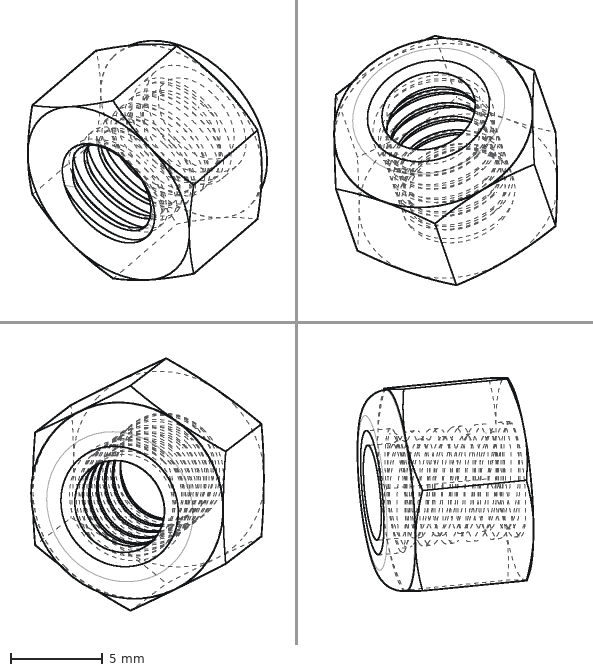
import cadquery as cq
import math

across_corners = 12.83
half_corner_angle = 30.0
across_flats = across_corners * math.cos(math.radians(half_corner_angle))
hex_length = 6.6
total_length = 7.94
corner_chamfer_angle = 25.0

collar_diameter = 11.09
collar_length = total_length - hex_length
collar_round = 1.28

thread_major_diameter = 6.35
thread_minor_diameter = 5.39
thread_pitch = 1.27
thread_root_width = 0.45
thread_flank_angle = 30.0
thread_lean = math.degrees(math.atan(thread_pitch / thread_major_diameter))
first_groove_y = -0.41
groove_count = 7
groove_overcut = 0.13

insert_outer_diameter = 6.84
insert_bore_diameter = 5.22

flank_slope = math.tan(math.radians(thread_flank_angle))


def cylinder(diameter, start_y, length):
    """Cylinder along +Y that starts at start_y."""
    base = cq.Workplane("XZ", origin=(0, start_y, 0))
    return base.circle(diameter / 2).extrude(-length)


def revolve_about_y(points):
    """Solid of revolution about Y from (radius, y) points."""
    return cq.Workplane("XY").polyline(points).close().revolve(360, (0, 0, 0), (0, 1, 0))


def make_hexagon():
    """Hexagonal prism with its corners turned down at both ends."""
    prism = (
        cq.Workplane("XZ")
        .polygon(6, across_corners)
        .extrude(-hex_length)
        .rotate((0, 0, 0), (0, 1, 0), half_corner_angle)
    )
    flat_radius = across_flats / 2
    corner_radius = across_corners / 2
    chamfer_depth = (corner_radius - flat_radius) * math.tan(math.radians(corner_chamfer_angle))
    envelope = revolve_about_y([
        (0, 0),
        (flat_radius, 0),
        (corner_radius, chamfer_depth),
        (corner_radius, hex_length - chamfer_depth),
        (flat_radius, hex_length),
        (0, hex_length),
    ])
    return prism.intersect(envelope)


def make_collar():
    """Round collar with a rounded rear rim."""
    collar = cylinder(collar_diameter, hex_length, collar_length)
    return collar.faces(">Y").edges().fillet(collar_round)


def make_entry_chamfer():
    """Cone that opens the bore at the entry face, as steep as the thread flanks."""
    major_radius = thread_major_diameter / 2
    return revolve_about_y([(0, 0), (major_radius, 0), (0, major_radius * flank_slope)])


def make_groove(center_y):
    """Leaning ring groove whose root lies on the upright major cylinder."""
    root_radius = thread_major_diameter / 2
    inner_radius = insert_bore_diameter / 2
    outer_radius = root_radius + groove_overcut
    half_root = thread_root_width / 2
    half_tip = half_root - groove_overcut * flank_slope
    half_mouth = half_root + (root_radius - inner_radius) * flank_slope
    ring = revolve_about_y([
        (inner_radius, -half_mouth),
        (outer_radius, -half_tip),
        (outer_radius, half_tip),
        (inner_radius, half_mouth),
    ])
    leaning_ring = ring.rotate((0, 0, 0), (1, 0, 0), thread_lean).translate((0, center_y, 0))
    reach = 2 * thread_pitch
    start_y = center_y - reach
    end_y = min(center_y + reach, hex_length)
    return leaning_ring.intersect(cylinder(thread_major_diameter, start_y, end_y - start_y))


def make_nut():
    """Threaded nut with a recess for the insert in its collar."""
    nut = make_hexagon().union(make_collar())
    nut = nut.cut(cylinder(thread_minor_diameter, 0, hex_length))
    nut = nut.cut(cylinder(insert_outer_diameter, hex_length, collar_length))
    nut = nut.cut(make_entry_chamfer())
    for index in range(groove_count):
        nut = nut.cut(make_groove(first_groove_y + index * thread_pitch))
    return nut


def make_insert():
    """Plain locking ring that fills the collar recess."""
    ring = cylinder(insert_outer_diameter, hex_length, collar_length)
    return ring.cut(cylinder(insert_bore_diameter, hex_length, collar_length))


nut = make_nut()
insert = make_insert()

result = cq.Compound.makeCompound([nut.val(), insert.val()])